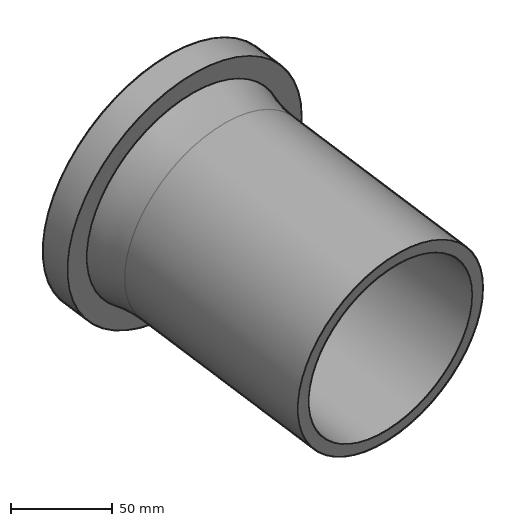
import cadquery as cq

total_length = 167.0
flange_diameter = 158.0
flange_thickness = 18.0
pipe_diameter = 125.0
bore_diameter = 110.2

neck_base_diameter = 132.0
neck_length = 23.5

flange_radius = flange_diameter / 2
pipe_radius = pipe_diameter / 2
bore_radius = bore_diameter / 2
neck_base_radius = neck_base_diameter / 2
neck_end = flange_thickness + neck_length


def wall_profile():
    """Half section of the wall in the XY plane, with the flange face at X = 0."""
    return (
        cq.Workplane("XY")
        .moveTo(0, bore_radius)
        .lineTo(total_length, bore_radius)
        .lineTo(total_length, pipe_radius)
        .lineTo(neck_end, pipe_radius)
        .tangentArcPoint((flange_thickness, neck_base_radius), relative=False)
        .lineTo(flange_thickness, flange_radius)
        .lineTo(0, flange_radius)
        .close()
    )


result = wall_profile().revolve(360, (0, 0, 0), (1, 0, 0))